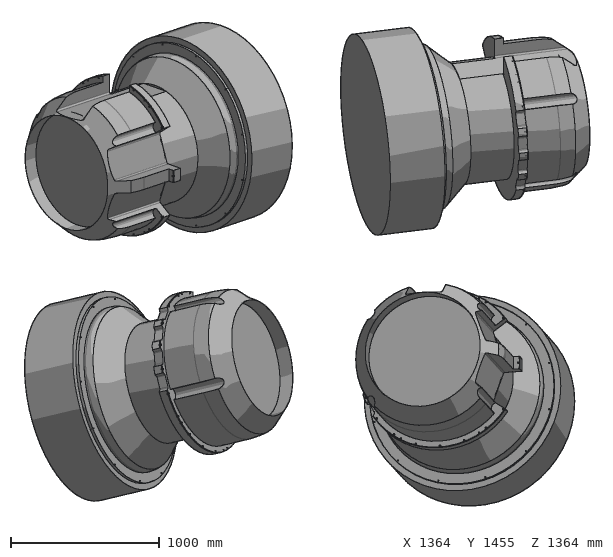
import cadquery as cq
import math

overall_length = 1455.0

drum_radius = 1364.0 / 2
drum_front = 1077.0
flange_radius = 1280.0 / 2
flange_front = 1057.0
shoulder_radius = 1140.0 / 2
shoulder_round_start = 1044.0
shoulder_round_radius = 559.0
shoulder_round_end = 991.0
neck_radius = 415.0
neck_back = 830.0

collar_radius = 555.0
collar_back = 530.0
collar_front = 466.0
collar_chamfer_length = 6.0
collar_chamfer_depth = 3.0
barrel_radius = 511.0
barrel_round_start = 233.0
barrel_round_radius = 496.0
barrel_round_end = 124.0
mouth_radius = 798.0 / 2
mouth_depth = 102.0

slot_width = 255.0
slot_floor = 400.0
pocket_fillet = 12.0

rib_half_width = 44.0
pocket_floor = 416.0
pocket_floor_angle = 20.0
pocket_end_angle = 35.0

groove_angle = 38.0
groove_radius = 38.0
groove_center_radius = 500.0

notch_angles = (153, 171, 189, 207)
notch_floor_radius = 531.0
notch_floor_width = 87.0
notch_mouth_width = 125.0
notch_fillet = 7.0

hole_depth = 15.0
flange_hole_diameter = 6.0
flange_hole_circle_radius = 627.0
flange_hole_count = 12
flange_hole_start_angle = 15.0
collar_hole_diameter = 9.0
collar_hole_circle_radius = 543.0
collar_hole_count = 20
small_collar_hole_diameter = 6.0
small_collar_hole_count = 6

cut_margin = 73.0
cut_radius = collar_radius + cut_margin


def section_at(y):
    """Workplane across the axis at Y = y, with X to the right, Z up and extrusion towards -Y."""
    return cq.Workplane("XZ", origin=(0, y, 0))


def polar(radius, degrees):
    """Point (x, z) at a radius and an angle from +X towards +Z."""
    angle = math.radians(degrees)
    return radius * math.cos(angle), radius * math.sin(angle)


def turned_body():
    outline = (
        cq.Workplane("XY")
        .moveTo(0, overall_length)
        .lineTo(drum_radius, overall_length)
        .lineTo(drum_radius, drum_front)
        .lineTo(flange_radius, drum_front)
        .lineTo(flange_radius, flange_front)
        .lineTo(shoulder_radius, flange_front)
        .lineTo(shoulder_radius, shoulder_round_start)
        .tangentArcPoint((shoulder_round_radius, shoulder_round_end), relative=False)
        .lineTo(neck_radius, neck_back)
        .lineTo(neck_radius, collar_back)
        .lineTo(collar_radius, collar_back)
        .lineTo(collar_radius, collar_front + collar_chamfer_length)
        .lineTo(collar_radius - collar_chamfer_depth, collar_front)
        .lineTo(barrel_radius, collar_front)
        .lineTo(barrel_radius, barrel_round_start)
        .tangentArcPoint((barrel_round_radius, barrel_round_end), relative=False)
        .lineTo(mouth_radius, 0)
        .lineTo(mouth_radius, mouth_depth)
        .lineTo(0, mouth_depth)
        .close()
    )
    return outline.revolve(360, (0, 0, 0), (0, 1, 0))


def top_slot():
    """Slot from the mouth to the back of the neck; it also leaves a flat on the neck."""
    height = cut_radius - slot_floor
    return (
        section_at(neck_back)
        .center(0, slot_floor + height / 2)
        .rect(slot_width, height)
        .extrude(neck_back)
        .edges("|Y and <Z")
        .fillet(pocket_fillet)
    )


def upper_side_pocket():
    """Pocket above the rib, with a flat floor, a wall along the rib and a radial end wall."""
    normal_angle = math.radians(pocket_floor_angle)
    rib_corner_x = (pocket_floor - rib_half_width * math.sin(normal_angle)) / math.cos(normal_angle)
    rib_corner = (rib_corner_x, rib_half_width)
    end_corner_radius = pocket_floor / math.cos(math.radians(pocket_end_angle - pocket_floor_angle))
    end_corner = polar(end_corner_radius, pocket_end_angle)
    pocket = (
        section_at(collar_back)
        .moveTo(*rib_corner)
        .lineTo(cut_radius, rib_half_width)
        .lineTo(*polar(cut_radius / math.cos(math.radians(pocket_end_angle)), pocket_end_angle))
        .lineTo(*end_corner)
        .close()
        .extrude(collar_back)
    )
    middle_y = collar_back / 2
    for x, z in (rib_corner, end_corner):
        corner_edge = cq.selectors.NearestToPointSelector((x, middle_y, z))
        pocket = pocket.edges(corner_edge).fillet(pocket_fillet)
    return pocket


def barrel_grooves():
    angles = (groove_angle, 180 - groove_angle, 180 + groove_angle, -groove_angle)
    centers = [polar(groove_center_radius, angle) for angle in angles]
    return section_at(collar_front).pushPoints(centers).circle(groove_radius).extrude(collar_front)


def collar_notch(angle):
    """Notch through the collar with sloping sides, turned from +X to the given angle."""
    flare = (notch_mouth_width - notch_floor_width) / (collar_radius - notch_floor_radius)
    outer_radius = collar_radius + cut_margin
    outer_half_width = (notch_floor_width + flare * (outer_radius - notch_floor_radius)) / 2
    notch = (
        section_at(collar_back)
        .moveTo(notch_floor_radius, -notch_floor_width / 2)
        .lineTo(outer_radius, -outer_half_width)
        .lineTo(outer_radius, outer_half_width)
        .lineTo(notch_floor_radius, notch_floor_width / 2)
        .close()
        .extrude(collar_back - collar_front)
        .edges("|Y and <X")
        .fillet(notch_fillet)
    )
    return notch.rotate((0, 0, 0), (0, 1, 0), -angle)


def hole_ring(face_y, circle_radius, diameter, count, start_angle):
    """Ring of blind holes drilled towards +Y from a face that looks towards the mouth."""
    return (
        section_at(face_y)
        .polarArray(circle_radius, start_angle, 360, count)
        .circle(diameter / 2)
        .extrude(-hole_depth)
    )


result = turned_body()
result = result.cut(top_slot())
side_pocket = upper_side_pocket()
result = result.cut(side_pocket)
result = result.cut(side_pocket.mirror("XY"))
result = result.cut(barrel_grooves())
for notch_angle in notch_angles:
    result = result.cut(collar_notch(notch_angle))
flange_holes = hole_ring(
    flange_front,
    flange_hole_circle_radius,
    flange_hole_diameter,
    flange_hole_count,
    flange_hole_start_angle,
)
result = result.cut(flange_holes)
for diameter, count in (
    (collar_hole_diameter, collar_hole_count),
    (small_collar_hole_diameter, small_collar_hole_count),
):
    result = result.cut(hole_ring(collar_front, collar_hole_circle_radius, diameter, count, 0))